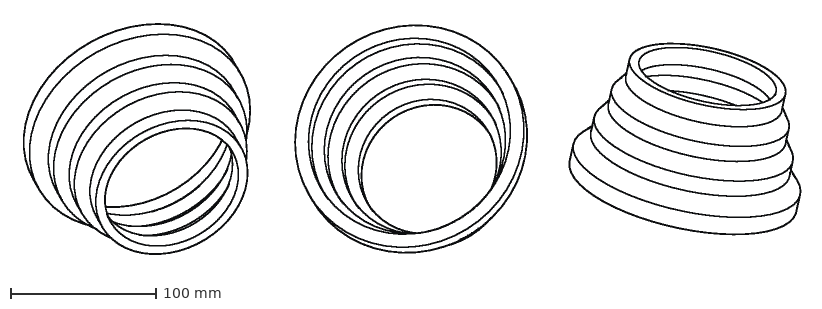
import cadquery as cq

total_length = 83.0
end_band_length = 13.0
outer_radii = [80.0, 70.0, 62.5, 55.0]
inner_radii = [70.5, 63.4, 55.7, 48.3]
second_bore_start = 21.3

middle_length = (total_length - 2 * end_band_length) / 5
band_ends = [end_band_length + 2 * i * middle_length for i in range(3)] + [total_length]
outer_starts = [0] + [end + middle_length for end in band_ends[:3]]
inner_starts = [0, second_bore_start] + outer_starts[2:]


def stepped_solid(starts, radii):
    """Revolve cylindrical bands joined by cones around the X axis."""
    outline = [(0, 0)]
    for start, end, radius in zip(starts, band_ends, radii):
        outline += [(start, radius), (end, radius)]
    outline.append((total_length, 0))
    return cq.Workplane("XY").polyline(outline).close().revolve(360, (0, 0, 0), (1, 0, 0))


body = stepped_solid(outer_starts, outer_radii)
bore = stepped_solid(inner_starts, inner_radii)
result = body.cut(bore)